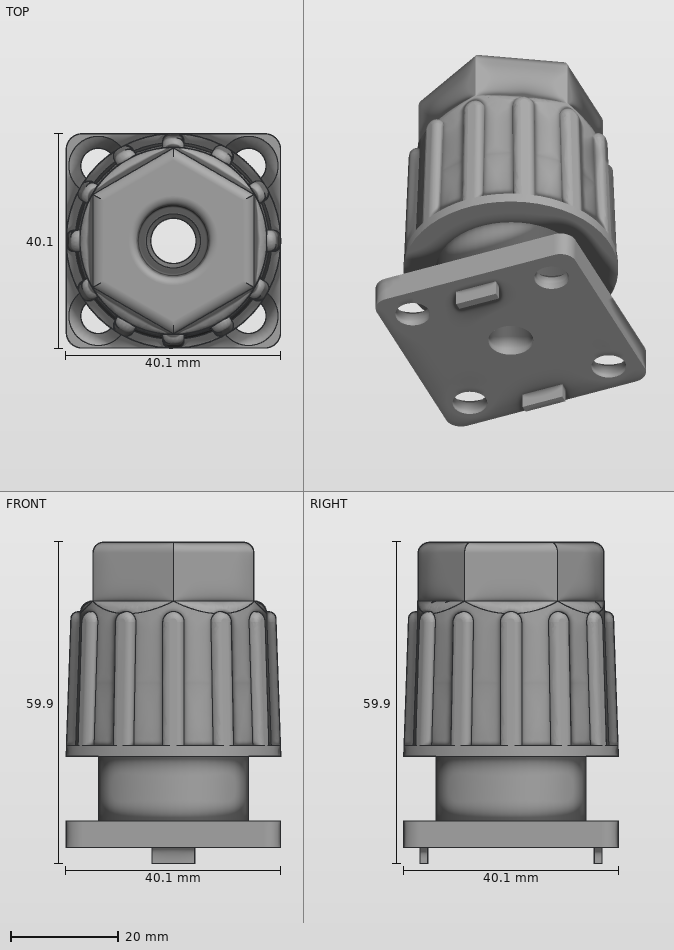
import cadquery as cq
import math

plate_side = 40.0
plate_thickness = 5.0
plate_corner_radius = 3.0
neck_diameter = 28.0
neck_height = 12.0
passage_diameter = 8.4
screw_offset = 14.0
screw_hole_diameter = 6.5
countersink_diameter = 11.0
countersink_angle = 90.0
tab_width = 8.0
tab_thickness = 1.5
tab_drop = 3.0
tab_outer_offset = 17.0

nut_bottom = plate_thickness + neck_height
nut_height = 39.94
draft = math.tan(math.radians(2.0))
skirt_radius = 20.035
skirt_height = 2.0
grip_base_radius = 18.35
shoulder_height = 29.0
hex_across_flats = 30.0
hex_top_fillet = 2.0
hex_sides = 6
shoulder_sections = 9

rib_count = 12
rib_width = 4.0
rib_top = 27.0
rib_edge_fillet = 1.35
rib_inner_radius = 15.0

bore_mouth_fillet = 1.5
bore_top_radius = 6.8
bore_bottom_radius = 6.45
bore_depth = 8.0
bore_floor_fillet = 0.3
seat_radius = 5.05
seat_chamfer = seat_radius - passage_diameter / 2

half_arc = math.sqrt(0.5)
nut_top = nut_bottom + nut_height
shoulder_z = nut_bottom + shoulder_height
hex_apothem = hex_across_flats / 2
hex_corner_radius = hex_apothem / math.cos(math.pi / hex_sides)
hex_half_side = hex_corner_radius / 2
grip_top_radius = grip_base_radius - draft * (shoulder_height - skirt_height)


def make_base():
    plate = (
        cq.Workplane("XY")
        .rect(plate_side, plate_side)
        .extrude(plate_thickness)
        .edges("|Z")
        .fillet(plate_corner_radius)
    )
    neck = cq.Workplane("XY").circle(neck_diameter / 2).extrude(nut_bottom)
    tab_y = tab_outer_offset - tab_thickness / 2
    tabs = (
        cq.Workplane("XY")
        .pushPoints([(0, tab_y), (0, -tab_y)])
        .rect(tab_width, tab_thickness)
        .extrude(-tab_drop)
    )
    base = (
        plate.faces(">Z")
        .workplane(origin=(0, 0, plate_thickness))
        .rect(2 * screw_offset, 2 * screw_offset, forConstruction=True)
        .vertices()
        .cskHole(screw_hole_diameter, countersink_diameter, countersink_angle)
    )
    base = base.union(neck).union(tabs)
    passage = cq.Workplane("XY").circle(passage_diameter / 2).extrude(nut_bottom)
    return base.cut(passage)


def make_cone(bottom_z, bottom_radius, height):
    """Solid of revolution about Z that narrows upward at the draft angle."""
    return (
        cq.Workplane("XZ")
        .moveTo(0, bottom_z)
        .lineTo(bottom_radius, bottom_z)
        .lineTo(bottom_radius - draft * height, bottom_z + height)
        .lineTo(0, bottom_z + height)
        .close()
        .revolve(360, (0, 0, 0), (0, 1, 0))
    )


def make_shoulder_cutter():
    """Removes the grip's top edge beside one hex flat, leaving a rounded shoulder.

    The rounding is as wide as the ledge beside the flat, so it shrinks towards the hex corners.
    """
    wires = []
    for index in range(shoulder_sections):
        y = hex_half_side * (2 * index / (shoulder_sections - 1) - 1)
        width = math.sqrt(grip_top_radius**2 - y**2) - hex_apothem
        outer_x = hex_apothem + width
        mid_x = hex_apothem + width * half_arc
        mid_z = shoulder_z - width * (1 - half_arc)
        section = (
            cq.Workplane("XZ", origin=(0, y, 0))
            .moveTo(hex_apothem, shoulder_z)
            .threePointArc((mid_x, mid_z), (outer_x, shoulder_z - width))
            .lineTo(grip_base_radius, shoulder_z - width)
            .lineTo(grip_base_radius, shoulder_z)
            .close()
        )
        wires.append(section.wires().val())
    return cq.Workplane(cq.Solid.makeLoft(wires))


def make_rib():
    """Round-topped rib on the +X side whose outer face follows the drafted skirt."""
    half_width = rib_width / 2
    rib_bottom = nut_bottom + skirt_height
    arch_z = nut_bottom + rib_top - half_width
    blank = (
        cq.Workplane("YZ", origin=(rib_inner_radius, 0, 0))
        .moveTo(-half_width, rib_bottom)
        .lineTo(half_width, rib_bottom)
        .lineTo(half_width, arch_z)
        .threePointArc((0, arch_z + half_width), (-half_width, arch_z))
        .close()
        .extrude(skirt_radius - rib_inner_radius)
    )
    rib = blank.intersect(make_cone(nut_bottom, skirt_radius, nut_height))
    outer_edges = rib.faces(">X").edges("not(<Z)")
    return outer_edges.fillet(rib_edge_fillet)


def make_bore():
    mouth_radius = bore_top_radius + bore_mouth_fillet
    mouth_z = nut_top - bore_mouth_fillet
    floor_z = nut_top - bore_depth
    floor_radius = bore_bottom_radius - bore_floor_fillet
    passage_radius = passage_diameter / 2
    return (
        cq.Workplane("XZ")
        .moveTo(0, nut_top)
        .lineTo(mouth_radius, nut_top)
        .threePointArc(
            (mouth_radius - bore_mouth_fillet * half_arc, mouth_z + bore_mouth_fillet * half_arc),
            (bore_top_radius, mouth_z),
        )
        .lineTo(bore_bottom_radius, floor_z + bore_floor_fillet)
        .threePointArc(
            (floor_radius + bore_floor_fillet * half_arc, floor_z + bore_floor_fillet * (1 - half_arc)),
            (floor_radius, floor_z),
        )
        .lineTo(seat_radius, floor_z)
        .lineTo(passage_radius, floor_z - seat_chamfer)
        .lineTo(passage_radius, nut_bottom)
        .lineTo(0, nut_bottom)
        .close()
        .revolve(360, (0, 0, 0), (0, 1, 0))
    )


def make_nut():
    nut = make_cone(nut_bottom + skirt_height, grip_base_radius, shoulder_height - skirt_height)
    cutter = make_shoulder_cutter()
    for index in range(hex_sides):
        nut = nut.cut(cutter.rotate((0, 0, 0), (0, 0, 1), index * 360 / hex_sides))
    head = (
        cq.Workplane("XY", origin=(0, 0, shoulder_z))
        .polygon(hex_sides, 2 * hex_corner_radius)
        .extrude(nut_top - shoulder_z)
        .rotate((0, 0, 0), (0, 0, 1), 180 / hex_sides)
        .faces(">Z")
        .edges()
        .fillet(hex_top_fillet)
    )
    nut = nut.union(head).union(make_cone(nut_bottom, skirt_radius, skirt_height))
    rib = make_rib()
    for index in range(rib_count):
        nut = nut.union(rib.rotate((0, 0, 0), (0, 0, 1), index * 360 / rib_count))
    return nut.cut(make_bore())


base = make_base()
nut = make_nut()
result = cq.Compound.makeCompound([base.val(), nut.val()])